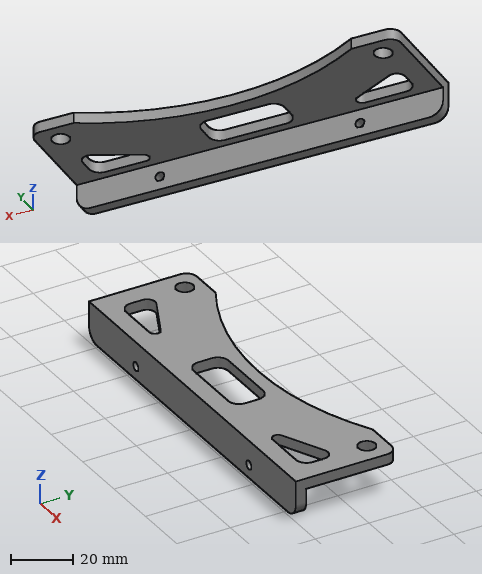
import cadquery as cq
import math

length = 132.0
depth = 38.0
height = 14.0
thickness = 4.0
plate_corner_radius = 4.0
flange_corner_radius = 5.0

arc_half_width = 50.0
arc_depth = 13.2

mount_hole_diameter = 6.2
mount_hole_x = 58.1
mount_hole_y = 31.2
flange_hole_diameter = 3.2
flange_hole_x = 36.0
flange_hole_z = -9.1

window_front_y = 7.0
window_length = 30.0
window_width = 13.0
window_radius = 4.0
triangle_outer_x = 58.1
triangle_corner_radius = 4.0
triangle_tip_radius = 2.0
triangle_tip_x = 39.3
triangle_top_radius = 3.0
triangle_top_y = 15.3


def make_plate():
    """Horizontal plate, top face at Z = 0, with a concave back edge."""
    half = length / 2
    return (
        cq.Workplane("XY")
        .workplane(offset=-thickness)
        .moveTo(-half, 0)
        .lineTo(half, 0)
        .lineTo(half, depth)
        .lineTo(arc_half_width, depth)
        .threePointArc((0, depth - arc_depth), (-arc_half_width, depth))
        .lineTo(-half, depth)
        .close()
        .extrude(thickness)
        .edges("|Z and >Y and (<X or >X)")
        .fillet(plate_corner_radius)
    )


def make_flange():
    """Vertical front flange with rounded lower corners."""
    return (
        cq.Workplane("XY")
        .box(length, thickness, height, centered=(True, False, False))
        .translate((0, 0, -height))
        .edges("|Y and <Z")
        .fillet(flange_corner_radius)
    )


def tangent_points(start, start_radius, end, end_radius):
    """Outer tangent of two circles, on the right of the path from start to end."""
    dx = end[0] - start[0]
    dy = end[1] - start[1]
    direction = math.atan2(dy, dx)
    turn = math.acos((start_radius - end_radius) / math.hypot(dx, dy))
    angle = direction - turn
    return angle, [
        (x + radius * math.cos(angle), y + radius * math.sin(angle))
        for (x, y), radius in ((start, start_radius), (end, end_radius))
    ]


def make_triangle_cutter():
    """Right-hand triangular window: three corner arcs joined by tangent lines."""
    circles = [
        ((triangle_tip_x, window_front_y + triangle_tip_radius), triangle_tip_radius),
        ((triangle_outer_x - triangle_corner_radius, window_front_y + triangle_corner_radius),
         triangle_corner_radius),
        ((triangle_outer_x - triangle_top_radius, triangle_top_y), triangle_top_radius),
    ]
    count = len(circles)
    sides = [tangent_points(*circles[i], *circles[(i + 1) % count]) for i in range(count)]
    outline = cq.Workplane("XY").workplane(offset=-thickness).moveTo(*sides[0][1][0])
    for i in range(count):
        angle, points = sides[i]
        next_angle, next_points = sides[(i + 1) % count]
        (x, y), radius = circles[(i + 1) % count]
        middle = angle + ((next_angle - angle) % math.tau) / 2
        arc_middle = (x + radius * math.cos(middle), y + radius * math.sin(middle))
        outline = outline.lineTo(*points[1]).threePointArc(arc_middle, next_points[0])
    return outline.close().extrude(thickness)


def make_center_cutter():
    """Rounded rectangular window in the middle of the plate."""
    return (
        cq.Workplane("XY")
        .box(window_length, window_width, thickness, centered=(True, False, False))
        .translate((0, window_front_y, -thickness))
        .edges("|Z")
        .fillet(window_radius)
    )


def make_mount_holes():
    return (
        cq.Workplane("XY")
        .pushPoints([(side * mount_hole_x, mount_hole_y) for side in (-1, 1)])
        .circle(mount_hole_diameter / 2)
        .extrude(-thickness)
    )


def make_flange_holes():
    return (
        cq.Workplane("XZ")
        .pushPoints([(side * flange_hole_x, flange_hole_z) for side in (-1, 1)])
        .circle(flange_hole_diameter / 2)
        .extrude(-thickness)
    )


triangle = make_triangle_cutter()
result = (
    make_plate()
    .union(make_flange())
    .cut(make_center_cutter())
    .cut(triangle)
    .cut(triangle.mirror("YZ"))
    .cut(make_mount_holes())
    .cut(make_flange_holes())
)